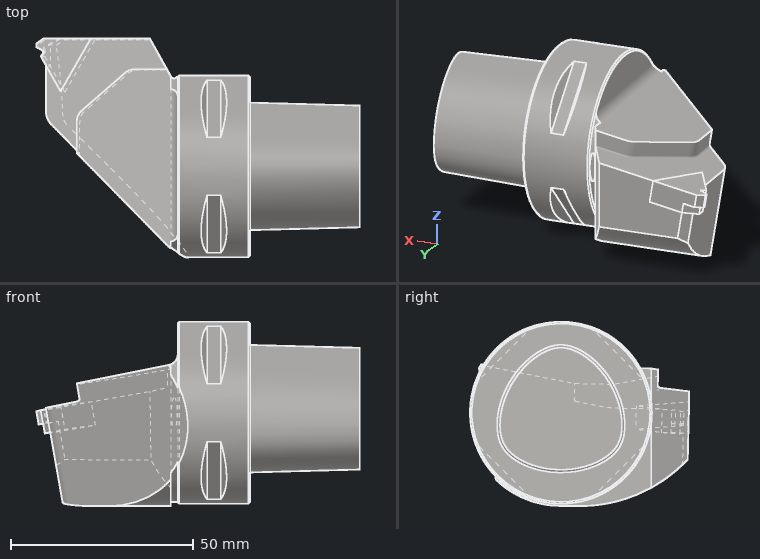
import cadquery as cq
import math

flange_diameter = 50.0
flange_radius = flange_diameter / 2
flange_length = 19.9
flange_chamfer = 0.5
neck_step = 0.4
flange_front = -flange_length

slot_count = 4
first_slot_angle = 45
slot_center_x = -9.95
slot_floor_radius = 22.4
slot_floor_width = 3.7
slot_top_width = 7.0

shank_length = 30.1
shank_base_radius = 17.54
shank_end_radius = 16.74
lobe_height = 1.11
lobe_points = 36

head_radius = 25.625
head_end_x = -21.8
head_start_x = -71.1
envelope_top = 31.1
belly_start_y = 6.7
belly_middle = (21.3, -22.3)
belly_end = (36.0, -11.55)

tip_x = flange_front - 38.8
tip_y = 33.2
tip_z = 0.4
rake_slope = math.tan(math.radians(10))
side_slope = 0.024

nose_u = 2.75
side_v = 1.95
nose_chamfer_u = 2.7
nose_chamfer_v = 1.5
relief_start_v = -20.2
shoulder_x = -27.5
shoulder_angle = 61.0
shoulder_fillet = 1.0
corner_radius = 5.0
head_far_u = 66.6
head_depth = 62.2

step_height = 4.9
step_front_u = 12.3
step_corner_v = -19.2
step_side_u = 26.8
step_side_v = -6.7
step_corner_radius = 4.0
step_base_fillet = 0.6
root_fillet = 3.0

insert_apex_u = 6.8
insert_apex_v = -12.6
insert_upper_depth = 3.7
insert_depth = 6.5
insert_edge_slope = math.tan(math.radians(60))
tip_half_width = 0.4
tip_flank_u = 2.0
notch_u = 2.4
notch_v = -1.9
second_tooth_u = 1.2

insert_height = side_v - insert_apex_v
insert_back_u = insert_apex_u + insert_height / insert_edge_slope
second_tooth_v = insert_apex_v + (insert_apex_u - second_tooth_u) * insert_edge_slope

tool_plane = cq.Plane(
    origin=(tip_x, tip_y, tip_z),
    xDir=(1, 0, rake_slope),
    normal=(-rake_slope, side_slope, 1),
)


def tool_prism(points, low, high):
    """Prism between two heights of the tool frame."""
    return cq.Workplane(tool_plane).workplane(offset=low).polyline(points).close().extrude(high - low)


def lobed_section(plane_x, mean_radius):
    """Smooth three-lobed outline of constant width across the spindle axis."""
    points = []
    for i in range(lobe_points):
        angle = 2 * math.pi * i / lobe_points
        support = mean_radius - lobe_height * math.sin(3 * angle)
        slope = -3 * lobe_height * math.cos(3 * angle)
        y = support * math.cos(angle) - slope * math.sin(angle)
        z = support * math.sin(angle) + slope * math.cos(angle)
        points.append(cq.Vector(plane_x, y, z))
    return cq.Wire.assembleEdges([cq.Edge.makeSpline(points, periodic=True)])


def make_shank():
    base = lobed_section(0, shank_base_radius)
    end = lobed_section(shank_length, shank_end_radius)
    return cq.Workplane(cq.Solid.makeLoft([base, end]))


def make_slot(angle):
    """Flat-floored slot with flared walls, cut along a chord of the flange."""
    flare = (slot_top_width - slot_floor_width) / 2
    return (
        cq.Workplane("XZ")
        .moveTo(slot_center_x - slot_floor_width / 2, slot_floor_radius)
        .lineTo(slot_center_x + slot_floor_width / 2, slot_floor_radius)
        .lineTo(slot_center_x + slot_floor_width / 2 + flare, flange_radius)
        .lineTo(slot_center_x - slot_floor_width / 2 - flare, flange_radius)
        .close()
        .extrude(flange_radius, both=True)
        .rotate((0, 0, 0), (1, 0, 0), angle)
    )


def make_flange():
    flange = (
        cq.Workplane("YZ").workplane(offset=flange_front).circle(flange_radius).extrude(flange_length)
        .faces(">X").chamfer(flange_chamfer)
        .faces("<X").chamfer(neck_step)
    )
    for i in range(slot_count):
        flange = flange.cut(make_slot(first_slot_angle + i * 360 / slot_count))
    return flange


def make_envelope():
    """Round belly of the head, with a narrower neck next to the flange."""
    head = (
        cq.Workplane("YZ").workplane(offset=head_start_x)
        .moveTo(-head_radius, envelope_top)
        .lineTo(-head_radius, 0)
        .radiusArc((0, -head_radius), -head_radius)
        .lineTo(belly_start_y, -head_radius)
        .threePointArc(belly_middle, belly_end)
        .lineTo(belly_end[0], envelope_top)
        .close()
        .extrude(head_end_x - head_start_x)
    )
    round_top = (
        cq.Workplane("YZ").workplane(offset=head_start_x).circle(head_radius).extrude(-head_start_x)
        .union(cq.Workplane("XY").box(-head_start_x, 2 * head_radius, 2 * envelope_top)
               .translate((head_start_x / 2, head_radius, 0)))
    )
    neck = (
        cq.Workplane("YZ").workplane(offset=head_end_x).circle(flange_radius - neck_step)
        .extrude(flange_front - head_end_x)
    )
    return head.intersect(round_top).union(neck)


def make_root_fillet():
    """Concave fillet between the sloping top of the step and the flange face."""
    step_top = step_height * math.hypot(1, rake_slope, side_slope)
    root_z = tip_z + step_top + rake_slope * (flange_front - tip_x) + side_slope * tip_y
    rake = math.atan(rake_slope)
    center_x = -root_fillet
    center_z = root_fillet / math.cos(rake) - root_fillet * rake_slope
    middle_angle = (rake - math.pi / 2) / 2
    fillet_plane = cq.Plane(
        origin=(flange_front, 0, root_z), xDir=(1, 0, 0), normal=(0, 1, -side_slope)
    )
    tangent_x = center_x + root_fillet * math.sin(rake)
    return (
        cq.Workplane(fillet_plane)
        .moveTo(0, -center_z)
        .threePointArc(
            (center_x + root_fillet * math.cos(middle_angle), -center_z - root_fillet * math.sin(middle_angle)),
            (tangent_x, -center_z + root_fillet * math.cos(rake)),
        )
        .lineTo(tangent_x, root_fillet)
        .lineTo(0, root_fillet)
        .close()
        .extrude(2 * flange_radius, both=True)
    )


def make_shoulder_cut():
    """Space behind the sloping shoulder wall, rounded where the wall meets the flange face."""
    side_y = tip_y + side_v
    run = flange_front - shoulder_x
    foot_y = side_y - run * math.tan(math.radians(shoulder_angle))
    return (
        cq.Workplane("XY")
        .polyline([
            (flange_front, foot_y),
            (flange_front, 2 * side_y - foot_y),
            (shoulder_x - run, 2 * side_y - foot_y),
        ])
        .close()
        .extrude(2 * head_radius, both=True)
        .edges("|Z and <Y").fillet(shoulder_fillet)
    )


def make_head():
    outline = [
        (nose_u, relief_start_v),
        (nose_u, side_v - nose_chamfer_v),
        (nose_u + nose_chamfer_u, side_v),
        (head_far_u, side_v),
        (head_far_u, relief_start_v - (head_far_u - nose_u)),
    ]
    base = tool_prism(outline, -head_depth, 0)
    relief_corner = cq.selectors.NearestToPointSelector(
        tool_plane.toWorldCoords((nose_u, relief_start_v, -head_depth / 2)).toTuple()
    )
    base = base.edges(relief_corner).fillet(corner_radius)

    step_outline = [
        (step_front_u, relief_start_v - head_far_u),
        (step_front_u, step_corner_v),
        (step_side_u, step_side_v),
        (head_far_u, step_side_v),
        (head_far_u, relief_start_v - head_far_u),
    ]
    step = tool_prism(step_outline, 0, step_height)
    for u, v in step_outline[1:3]:
        corner = tool_plane.toWorldCoords((u, v, step_height / 2)).toTuple()
        step = step.edges(cq.selectors.NearestToPointSelector(corner)).fillet(step_corner_radius)
    step = step.union(make_root_fillet()).intersect(tool_prism(outline, 0, step_height + 2 * root_fillet))
    head = base.union(step)
    base_corner = tool_plane.toWorldCoords((step_front_u, step_corner_v - 1.5 * step_corner_radius, 0))
    head = head.edges(cq.selectors.NearestToPointSelector(base_corner.toTuple())).fillet(step_base_fillet)
    return head.intersect(make_envelope()).cut(make_shoulder_cut())


def make_relief_cut():
    """Everything beyond the diagonal relief plane."""
    far = head_far_u
    return tool_prism(
        [(nose_u, relief_start_v), (nose_u + far, relief_start_v - far), (nose_u, relief_start_v - far)],
        -head_depth, step_height,
    )


def make_insert():
    upper = tool_prism(
        [
            (insert_apex_u, insert_apex_v),
            (second_tooth_u, second_tooth_v),
            (notch_u, notch_v),
            (0, -tip_half_width),
            (0, tip_half_width),
            (tip_flank_u, side_v),
            (insert_back_u, side_v),
        ],
        -insert_upper_depth, 0,
    )
    lower = tool_prism(
        [
            (insert_apex_u, insert_apex_v),
            (second_tooth_u, second_tooth_v),
            (second_tooth_u, -tip_half_width),
            (nose_u, side_v - nose_chamfer_v),
            (nose_u + nose_chamfer_u, side_v),
            (insert_back_u, side_v),
        ],
        -insert_depth, -insert_upper_depth,
    )
    return upper.union(lower)


def make_holder(insert):
    holder = make_flange().cut(make_relief_cut()).union(make_head())
    return holder.union(make_shank()).cut(insert)


insert = make_insert()
holder = make_holder(insert)
result = cq.Compound.makeCompound([holder.val(), insert.val()])